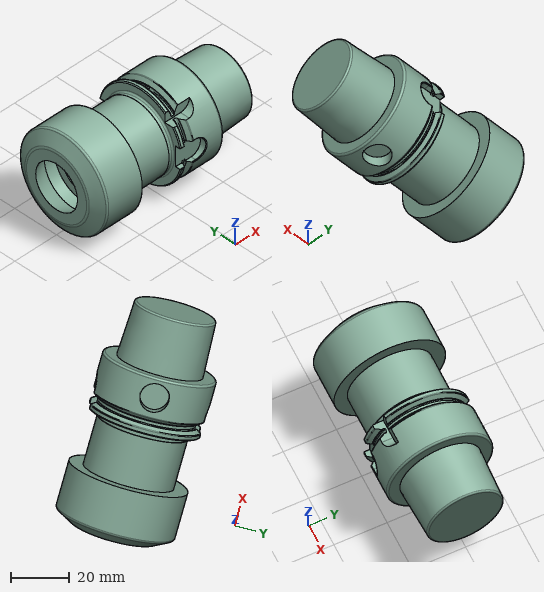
import cadquery as cq
import math

total_length = 80.0

nut_radius = 42.0 / 2
nut_length = 20.2
nut_face_radius = 15.0
nut_cone_angle = math.radians(30)
nut_cone_length = (nut_radius - nut_face_radius) * math.tan(nut_cone_angle)
nut_face_round = 2.0
nut_rim_round = 1.0

body_radius = 32.0 / 2
body_end = 38.0
neck_radius = 31.8 / 2
neck_round = 0.7

flange_radius = 40.0 / 2
flange_start = 40.1
flange_end = 60.1
front_chamfer = 0.4
rear_round = 0.7
groove_floor_radius = 17.4
groove_wall_radius = 18.2
groove_floor_start = 43.0
groove_floor_end = 44.7
groove_mouth_start = 41.9
groove_mouth_end = 46.1
groove_floor_round = 0.3
groove_mouth_round = 0.4

shank_base_radius = 30.5 / 2
shank_tip_radius = 14.3
shank_tip_round = 0.6

opening_radius = 20.0 / 2
chamber_radius = 13.4
chamber_start = 7.6
chamber_end = 12.6
seat_length = 7.4
seat_angle = math.radians(8)
seat_chamfer = 0.5
seat_floor_radius = 8.3
drill_radius = 12.9 / 2
drill_depth = 32.0
drill_point_angle = math.radians(118)

slot_width = 9.0
slot_floor = 17.0
slot_end = 52.0
slot_chamfer = 0.3

notch_floor = 11.9
notch_end = 51.9
notch_round = 4.3

pocket_diameter = 10.0
pocket_depth = 4.5
pocket_x = 53.2


def tangent_round(before, corner, after, radius):
    """Start, middle and end of the arc that rounds the corner between two neighbouring points."""
    corner = cq.Vector(*corner)
    back = (cq.Vector(*before) - corner).normalized()
    ahead = (cq.Vector(*after) - corner).normalized()
    half_angle = back.getAngle(ahead) / 2
    reach = radius / math.tan(half_angle)
    gap = radius / math.sin(half_angle) - radius
    start = corner + back * reach
    middle = corner + (back + ahead).normalized() * gap
    end = corner + ahead * reach
    return [(point.x, point.y) for point in (start, middle, end)]


def make_holder():
    """Turned outside of the holder before the groove is cut: a half section spun about X."""
    face_corner = (0, nut_face_radius)
    rim_corner = (nut_cone_length, nut_radius)
    face_round = tangent_round((0, 0), face_corner, rim_corner, nut_face_round)
    rim_round = tangent_round(face_corner, rim_corner, (nut_length, nut_radius), nut_rim_round)
    neck_corner = (flange_start, neck_radius)
    front_corner = (flange_start, flange_radius)
    neck_fillet = tangent_round((body_end, neck_radius), neck_corner, front_corner, neck_round)
    rear_corner = (flange_end, flange_radius)
    rear = tangent_round(front_corner, rear_corner, (flange_end, 0), rear_round)
    shank_base = (flange_end, shank_base_radius)
    tip_corner = (total_length, shank_tip_radius)
    tip = tangent_round(shank_base, tip_corner, (total_length, 0), shank_tip_round)
    profile = (
        cq.Workplane("XY")
        .lineTo(*face_round[0])
        .threePointArc(face_round[1], face_round[2])
        .lineTo(*rim_round[0])
        .threePointArc(rim_round[1], rim_round[2])
        .lineTo(nut_length, nut_radius)
        .lineTo(nut_length, body_radius)
        .lineTo(body_end, body_radius)
        .lineTo(body_end + body_radius - neck_radius, neck_radius)
        .lineTo(*neck_fillet[0])
        .threePointArc(neck_fillet[1], neck_fillet[2])
        .lineTo(flange_start, flange_radius - front_chamfer)
        .lineTo(flange_start + front_chamfer, flange_radius)
        .lineTo(*rear[0])
        .threePointArc(rear[1], rear[2])
        .lineTo(*shank_base)
        .lineTo(*tip[0])
        .threePointArc(tip[1], tip[2])
        .lineTo(total_length, 0)
        .close()
    )
    return profile.revolve(360, (0, 0, 0), (1, 0, 0))


def make_gripper_groove():
    """Ring cutter for the V groove around the flange, with rounded mouth and floor edges."""
    mouth_front = (groove_mouth_start, flange_radius)
    mouth_rear = (groove_mouth_end, flange_radius)
    wall_front = (groove_floor_start, groove_wall_radius)
    wall_rear = (groove_floor_end, groove_wall_radius)
    floor_front = (groove_floor_start, groove_floor_radius)
    floor_rear = (groove_floor_end, groove_floor_radius)
    mouth_in = tangent_round((flange_start, flange_radius), mouth_front, wall_front, groove_mouth_round)
    floor_in = tangent_round(wall_front, floor_front, floor_rear, groove_floor_round)
    floor_out = tangent_round(floor_front, floor_rear, wall_rear, groove_floor_round)
    mouth_out = tangent_round(wall_rear, mouth_rear, (flange_end, flange_radius), groove_mouth_round)
    profile = (
        cq.Workplane("XY")
        .moveTo(*mouth_in[0])
        .threePointArc(mouth_in[1], mouth_in[2])
        .lineTo(*wall_front)
        .lineTo(*floor_in[0])
        .threePointArc(floor_in[1], floor_in[2])
        .lineTo(*floor_out[0])
        .threePointArc(floor_out[1], floor_out[2])
        .lineTo(*wall_rear)
        .lineTo(*mouth_out[0])
        .threePointArc(mouth_out[1], mouth_out[2])
        .lineTo(mouth_out[2][0], nut_radius)
        .lineTo(mouth_in[0][0], nut_radius)
        .close()
    )
    return profile.revolve(360, (0, 0, 0), (1, 0, 0))


def make_bore():
    """Hollow inside of the nut and body, ending in a drill point."""
    seat_end = chamber_end + seat_length
    seat_end_radius = opening_radius - seat_length * math.tan(seat_angle)
    point_length = drill_radius / math.tan(drill_point_angle / 2)
    profile = (
        cq.Workplane("XY")
        .polyline([
            (0, 0),
            (0, opening_radius),
            (chamber_start, chamber_radius),
            (chamber_end, chamber_radius),
            (chamber_end, opening_radius),
            (seat_end, seat_end_radius),
            (seat_end + seat_chamfer, seat_floor_radius),
            (seat_end + seat_chamfer, drill_radius),
            (drill_depth, drill_radius),
            (drill_depth + point_length, 0),
        ])
        .close()
    )
    return profile.revolve(360, (0, 0, 0), (1, 0, 0))


def make_driving_slot(side):
    """Round-ended slot cutter on the +Y (side = 1) or -Y (side = -1) side."""
    half_width = slot_width / 2
    arc_x = slot_end - half_width
    return (
        cq.Workplane("XZ", origin=(0, side * slot_floor, 0))
        .moveTo(flange_start, -half_width)
        .lineTo(arc_x, -half_width)
        .threePointArc((slot_end, 0), (arc_x, half_width))
        .lineTo(flange_start, half_width)
        .close()
        .extrude(-side * (flange_radius - slot_floor))
    )


def make_notch():
    """Corner notch cutter on the -Y, +Z side, its rear end rising in an arc."""
    arc_reach = notch_round * math.sqrt(0.5)
    arc_x = notch_end - notch_round
    arc_z = notch_floor + notch_round
    return (
        cq.Workplane("XZ", origin=(0, -notch_floor, 0))
        .moveTo(flange_start, notch_floor)
        .lineTo(arc_x, notch_floor)
        .threePointArc((arc_x + arc_reach, arc_z - arc_reach), (notch_end, arc_z))
        .lineTo(notch_end, flange_radius)
        .lineTo(flange_start, flange_radius)
        .close()
        .extrude(flange_radius - notch_floor)
    )


def make_pocket():
    """Blind round pocket in the -Z side of the flange."""
    return (
        cq.Workplane("XY", origin=(pocket_x, 0, -flange_radius))
        .circle(pocket_diameter / 2)
        .extrude(pocket_depth)
    )


def chamfer_slot_rims(body):
    """Break the outer edges where the driving slots open through the flange surface."""
    reach = slot_width / 2 + slot_chamfer
    rim_depth = (slot_floor + flange_radius) / 2
    for side in (1, -1):
        rim_box = cq.selectors.BoxSelector(
            (flange_start + front_chamfer, side * rim_depth, -reach),
            (slot_end + slot_chamfer, side * nut_radius, reach),
        )
        body = body.edges(rim_box).chamfer(slot_chamfer)
    return body


holder = make_holder()
for side in (1, -1):
    holder = holder.cut(make_driving_slot(side))
holder = chamfer_slot_rims(holder)
for cutter in (make_gripper_groove(), make_notch(), make_pocket(), make_bore()):
    holder = holder.cut(cutter)

result = holder.solids()